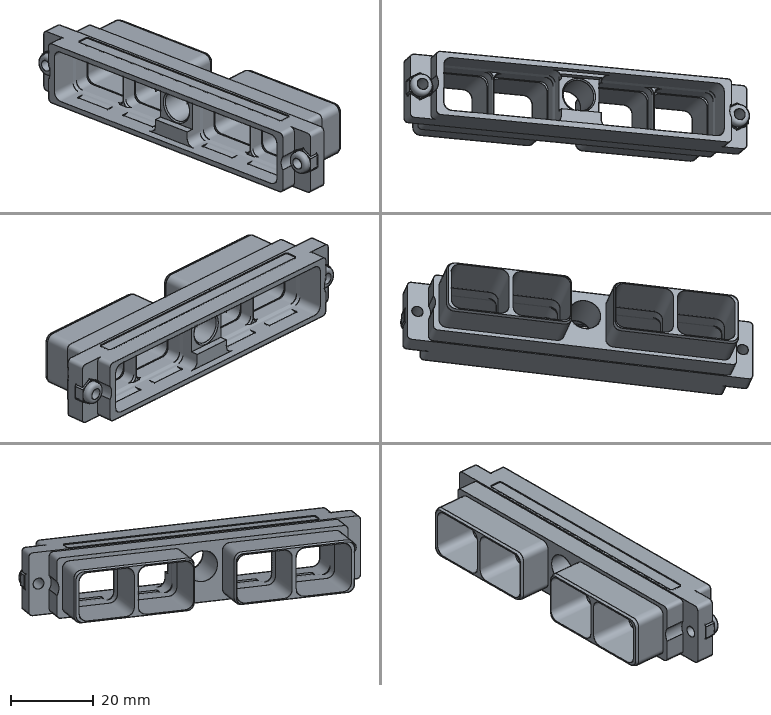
import cadquery as cq

front_height = 15.9
body_length = 75.0
ear_length = 85.5
ear_front = 4.2
ear_back = 9.0
corner_radius = 1.0
middle_height = 15.3
middle_back = 14.3

rear_depth = 23.05
block_inner_x = 5.2
block_outer_x = 36.1
block_length = block_outer_x - block_inner_x
block_center_x = (block_inner_x + block_outer_x) / 2
block_height = 13.3
block_radius = 1.9
rear_edge_width = 0.3
rear_edge_depth = 0.8

pocket_inner_x = 5.1
pocket_outer_x = 35.6
pocket_length = pocket_outer_x - pocket_inner_x
pocket_center_x = (pocket_inner_x + pocket_outer_x) / 2
pocket_height = 13.25
pocket_radius = 2.0
opening_depth = 2.1
pocket_depth = 6.8
taper_depth = 0.95
taper_width = 0.3
cell_front = pocket_depth + taper_depth

divider_thickness = 0.5
bevel_width = 0.2
bevel_depth = 0.6
pair_length = pocket_length - 2 * taper_width
cell_length = (pair_length - divider_thickness) / 2
cell_height = pocket_height - 2 * taper_width
cell_radius = 1.8
cell_pitch = cell_length + divider_thickness

lip_width = 0.3
lip_front = 11.6
lip_radius = 2.15

bore_z = 1.5
bore_radius = 3.9
bore_chamfer = 0.35
web_recess_height = 8.8
web_recess_depth = 3.95

notch_length = 9.6
notch_inner_x = 12.7
notch_outer_x = 27.2
notch_front = 4.3
notch_back = 6.0
notch_depth = 0.4

panel_length = 65.0
panel_front = 5.0
panel_back = 8.3
panel_radius = 0.6
panel_depth = 0.3

screw_x = 40.25
nut_corner_radius = 3.2
nut_pocket_corner_radius = 3.4
nut_front = 3.9
nut_back = 6.5
collar_front = 2.15
collar_radius = 2.75
collar_rounding = 0.95
screw_hole_radius = 1.4
clearance_groove_radius = 3.3

SIDES = (-1, 1)


def plane_at(y, x=0, z=0):
    """Work plane facing +Y: its local x is -X, its local y is +Z."""
    return cq.Workplane(cq.Plane(origin=(x, y, z), xDir=(-1, 0, 0), normal=(0, 1, 0)))


def rounded_bar(length, height, radius, y_start, y_end, x=0):
    bar = plane_at(y_start, x).rect(length, height).extrude(y_end - y_start)
    return bar.edges("|Y").fillet(radius)


def rounded_taper(length, height, radius, y_start, y_end, inset, x):
    """Rounded bar that narrows by inset on every side from y_start to y_end."""
    front = cq.Sketch().rect(length, height).vertices().fillet(radius)
    back = cq.Sketch().rect(length - 2 * inset, height - 2 * inset).vertices().fillet(radius)
    return plane_at(y_start, x).placeSketch(front, back.moved(cq.Location((0, 0, y_end - y_start)))).loft()


def cylinder(radius, y_start, y_end, x=0, z=0):
    return plane_at(y_start, x, z).circle(radius).extrude(y_end - y_start)


def hexagon(circumradius, y_start, y_end, x):
    """Hexagonal prism with a corner pointing up."""
    prism = plane_at(y_start, x).polygon(6, 2 * circumradius).extrude(y_end - y_start)
    return prism.rotate((x, 0, 0), (x, 1, 0), 90)


def make_body():
    body = rounded_bar(body_length, front_height, corner_radius, 0, ear_back)
    body = body.union(rounded_bar(body_length, middle_height, corner_radius, 0, middle_back))
    for side in SIDES:
        body = body.cut(cylinder(clearance_groove_radius, 0, middle_back, side * screw_x))
    return body.union(rounded_bar(ear_length, front_height, corner_radius, ear_front, ear_back))


def make_block(x):
    straight_back = rear_depth - rear_edge_depth
    block = rounded_bar(block_length, block_height, block_radius, ear_back, straight_back, x)
    edge = rounded_taper(
        block_length, block_height, block_radius, straight_back, rear_depth, rear_edge_width, x
    )
    return block.union(edge)


def make_cell(x, pair_region):
    """Through cell with its mouth bevelled along the divider and a lip around its rear part."""
    mouth = rounded_taper(
        cell_length + 2 * bevel_width,
        cell_height + 2 * bevel_width,
        cell_radius,
        cell_front,
        cell_front + bevel_depth,
        bevel_width,
        x,
    )
    cell = rounded_bar(cell_length, cell_height, cell_radius, cell_front, lip_front, x)
    rear_length = cell_length - 2 * lip_width
    rear_height = cell_height - 2 * lip_width
    rear = rounded_bar(rear_length, rear_height, lip_radius, cell_front, rear_depth, x)
    return cell.union(rear).union(mouth.intersect(pair_region))


def make_notch(x):
    """Wedge under the pocket floor, deepest at its front."""
    floor_z = -pocket_height / 2
    profile = [(notch_front, floor_z), (notch_back, floor_z), (notch_front, floor_z - notch_depth)]
    start = cq.Workplane("YZ", origin=(x - notch_length / 2, 0, 0))
    return start.polyline(profile).close().extrude(notch_length)


def make_side_cavity(side):
    x = side * pocket_center_x
    cavity = rounded_bar(pocket_length, pocket_height, pocket_radius, 0, pocket_depth, x)
    taper = rounded_taper(
        pocket_length, pocket_height, pocket_radius, pocket_depth, cell_front, taper_width, x
    )
    cavity = cavity.union(taper)
    pair_region = rounded_bar(pair_length, cell_height, pocket_radius, cell_front, rear_depth, x)
    for cell_side in SIDES:
        cell_x = x + cell_side * cell_pitch / 2
        cavity = cavity.union(make_cell(cell_x, pair_region))
    for notch_x in (notch_inner_x, notch_outer_x):
        cavity = cavity.union(make_notch(side * notch_x))
    return cavity


def make_web_cut():
    web_length = 2 * pocket_inner_x
    recess = plane_at(0, 0, bore_z).rect(web_length, web_recess_height).extrude(web_recess_depth)
    bore = cylinder(bore_radius, 0, middle_back, z=bore_z)
    mouth = plane_at(web_recess_depth, 0, bore_z).circle(bore_radius + bore_chamfer)
    mouth = mouth.workplane(offset=bore_chamfer).circle(bore_radius).loft()
    return recess.union(bore).union(mouth)


def make_panel():
    panel = cq.Workplane("XY", origin=(0, (panel_front + panel_back) / 2, front_height / 2))
    panel = panel.rect(panel_length, panel_back - panel_front).extrude(-panel_depth)
    return panel.edges("|Z").fillet(panel_radius)


def add_nut(body, x):
    body = body.cut(hexagon(nut_pocket_corner_radius, ear_front, nut_back, x))
    collar = cylinder(collar_radius, collar_front, nut_front, x).faces("<Y").edges().fillet(collar_rounding)
    body = body.union(hexagon(nut_corner_radius, nut_front, nut_back, x)).union(collar)
    return body.cut(cylinder(screw_hole_radius, collar_front, ear_back, x))


result = make_body()
for side in SIDES:
    result = result.union(make_block(side * block_center_x))

result = result.cut(rounded_bar(2 * pocket_outer_x, pocket_height, pocket_radius, 0, opening_depth))
for side in SIDES:
    result = result.cut(make_side_cavity(side))
result = result.cut(make_web_cut())
result = result.cut(make_panel())

for side in SIDES:
    result = add_nut(result, side * screw_x)